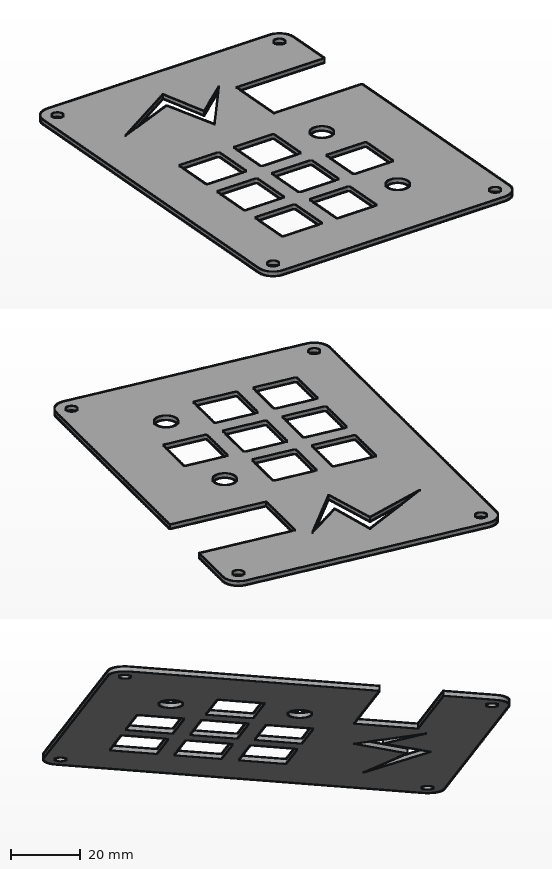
import cadquery as cq

plate_length = 118.6
plate_width = 87.6
plate_thickness = 1.5
corner_radius = 5.0

mount_hole_diameter = 3.4
mount_hole_inset = corner_radius

notch_width = 18.9
notch_depth = 30.8
notch_center_x = -29.3

key_pitch = 19.1
key_size = 14.0
key_corner_radius = 0.5
grid_center_x = 16.5
grid_center_y = -1.3
key_cells = [(0, 1), (-1, 0), (0, 0), (1, 0), (-1, -1), (0, -1), (1, -1)]

round_hole_diameter = 7.0
round_hole_cells = [(-1, 1), (1, 1)]

bolt_corners = [
    (-42.1, 9.1),
    (-24.2, -4.9),
    (-41.3, -9.7),
    (-33.1, -29.8),
    (-47.3, -6.8),
    (-32.3, -2.8),
]


def grid_positions(cells):
    """Centers of grid cells given as (column, row) steps from the middle window."""
    return [
        (grid_center_x + column * key_pitch, grid_center_y + row * key_pitch)
        for column, row in cells
    ]


def make_plate():
    plate = cq.Workplane("XY").rect(plate_length, plate_width).extrude(plate_thickness)
    return plate.edges("|Z").fillet(corner_radius)


def make_notch():
    center_y = (plate_width - notch_depth) / 2
    outline = cq.Workplane("XY").center(notch_center_x, center_y).rect(notch_width, notch_depth)
    return outline.extrude(plate_thickness)


def make_mount_holes():
    spacing_x = plate_length - 2 * mount_hole_inset
    spacing_y = plate_width - 2 * mount_hole_inset
    centers = cq.Workplane("XY").rect(spacing_x, spacing_y, forConstruction=True).vertices()
    return centers.circle(mount_hole_diameter / 2).extrude(plate_thickness)


def make_key_windows():
    centers = cq.Workplane("XY").pushPoints(grid_positions(key_cells))
    windows = centers.rect(key_size, key_size).extrude(plate_thickness)
    return windows.edges("|Z").fillet(key_corner_radius)


def make_round_holes():
    centers = cq.Workplane("XY").pushPoints(grid_positions(round_hole_cells))
    return centers.circle(round_hole_diameter / 2).extrude(plate_thickness)


def make_bolt():
    return cq.Workplane("XY").polyline(bolt_corners).close().extrude(plate_thickness)


result = (
    make_plate()
    .cut(make_notch())
    .cut(make_mount_holes())
    .cut(make_key_windows())
    .cut(make_round_holes())
    .cut(make_bolt())
)